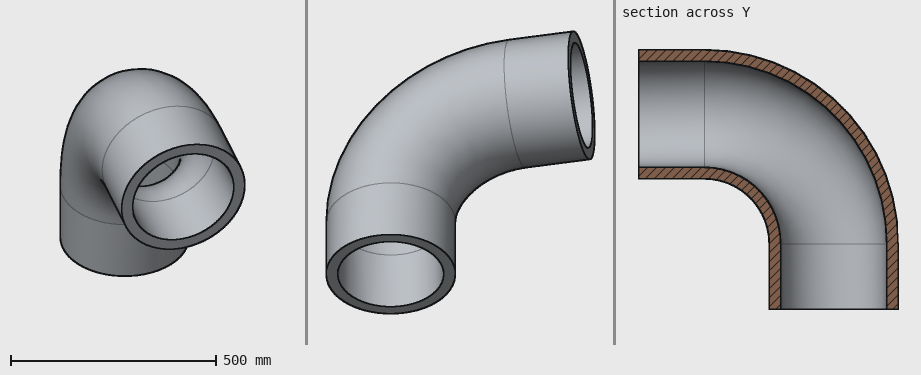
import cadquery as cq

overall_size = 632.5
outer_diameter = 315.0
bore_diameter = 258.0
bend_radius = outer_diameter

leg_length = overall_size - bend_radius - outer_diameter / 2


def ring(plane):
    """Pipe cross-section centred on the given workplane."""
    return cq.Workplane(plane).circle(outer_diameter / 2).circle(bore_diameter / 2)


lower_leg = ring("XY").extrude(-leg_length)

bend = ring("XY").revolve(90, (bend_radius, 0, 0), (bend_radius, 1, 0))

upper_plane = cq.Plane(origin=(bend_radius, 0, bend_radius), xDir=(0, 1, 0), normal=(1, 0, 0))
upper_leg = ring(upper_plane).extrude(leg_length)

result = lower_leg.union(bend).union(upper_leg)